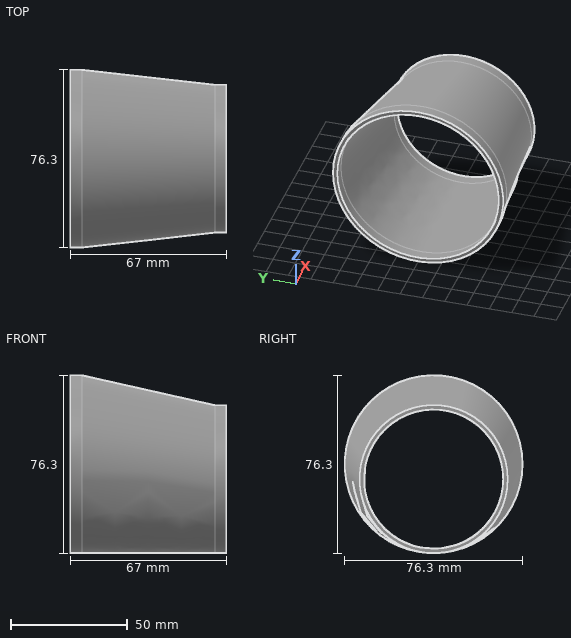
import cadquery as cq

length = 67.0
collar_length = 5.0
large_diameter = 76.3
small_diameter = 63.5
wall = 2.0

taper_length = length - 2 * collar_length
small_end_drop = (large_diameter - small_diameter) / 2


def reducer_body(large, small):
    """Solid eccentric reducer with a straight collar at each end."""
    large_collar = cq.Workplane("YZ").circle(large / 2).extrude(collar_length)
    taper = (
        cq.Workplane("YZ", origin=(collar_length, 0, 0))
        .circle(large / 2)
        .workplane(offset=taper_length)
        .center(0, -small_end_drop)
        .circle(small / 2)
        .loft(ruled=True)
    )
    small_collar = (
        cq.Workplane("YZ", origin=(length - collar_length, 0, -small_end_drop))
        .circle(small / 2)
        .extrude(collar_length)
    )
    return large_collar.union(taper).union(small_collar)


outside = reducer_body(large_diameter, small_diameter)
bore = reducer_body(large_diameter - 2 * wall, small_diameter - 2 * wall)

result = outside.cut(bore)